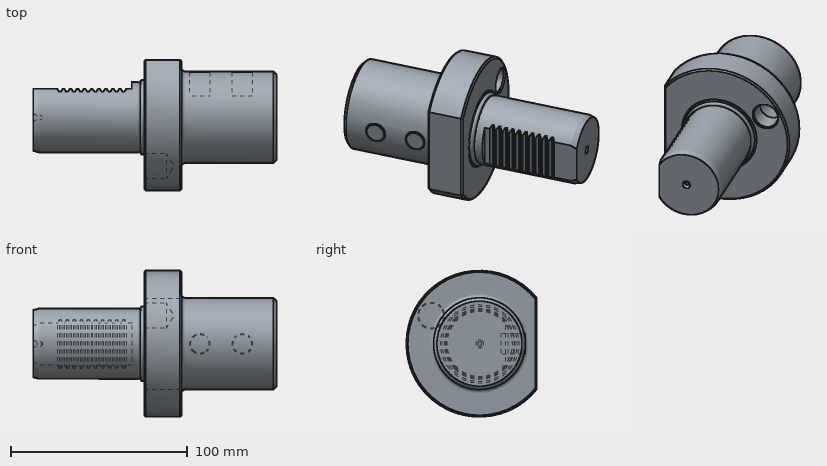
import cadquery as cq
import math

total_length = 138.0
step_x = 55.8
shank_taper_x = 59.3
flange_start_x = 62.9
flange_end_x = 84.0

shank_radius = 20.0
shank_lead_length = 3.5
shank_lead_angle = 15.0
shank_taper_drop = 0.4
shank_flat_y = 16.1

tooth_count = 10
tooth_pitch = 4.0
first_tooth_x = 15.2
tooth_depth = 1.7
tooth_root_width = 0.8
tooth_mouth_width = 3.2

flange_diameter = 83.0
flange_width = 74.0
flange_radius = flange_diameter / 2
flange_flat_y = flange_width - flange_radius
flange_chamfer = 1.0

nose_diameter = 52.0
nose_radius = nose_diameter / 2
nose_root_fillet = 2.1
nose_end_chamfer = 2.0

seal_section_radius = 1.4
seal_outer_radius = 21.3
seal_groove_outer_radius = 22.2
seal_ring_radius = seal_outer_radius - seal_section_radius
seal_x = 62.1
seal_groove_inner_radius = seal_ring_radius - seal_section_radius

coolant_y = -27.5
coolant_z = 16.0
coolant_radius = 7.0
coolant_mouth_radius = 7.6
coolant_mouth_depth = 1.0
coolant_depth = 12.4
drill_tip_angle = 118.0

center_mouth_radius = 2.2
center_pilot_radius = 1.1
center_pilot_depth = 2.8
center_countersink_angle = 60.0

screw_radius = 5.8
screw_chamfer = 0.5
screw_length = 13.8
first_screw_x = 94.3
screw_spacing = 24.0
screw_count = 2


def revolve_about_x(profile):
    """Turn a closed (x, radius) outline around the X axis."""
    return profile.close().revolve(360, (0, 0, 0), (1, 0, 0))


def cone_depth(radius_change, full_angle):
    """Axial length of a cone with the given full angle and change of radius."""
    return radius_change / math.tan(math.radians(full_angle / 2))


def make_shank():
    lead_drop = shank_lead_length * math.tan(math.radians(shank_lead_angle))
    seal_start_x = seal_x - seal_section_radius
    body = revolve_about_x(
        cq.Workplane("XY")
        .moveTo(0, 0)
        .lineTo(0, shank_radius - lead_drop)
        .lineTo(shank_lead_length, shank_radius)
        .lineTo(shank_taper_x, shank_radius)
        .lineTo(seal_start_x, shank_radius - shank_taper_drop)
        .lineTo(flange_start_x, shank_radius - shank_taper_drop)
        .lineTo(flange_start_x, 0)
    )
    return body.cut(shank_flat_cutter()).cut(serration_cutter())


def shank_flat_cutter():
    return cq.Workplane("XY").box(
        step_x, shank_radius, 2 * shank_radius, centered=(False, False, True)
    ).translate((0, shank_flat_y, 0))


def serration_cutter():
    """All the trapezoidal grooves across the flat."""
    grooves = cq.Workplane("XY").workplane(offset=-shank_radius)
    for index in range(tooth_count):
        x = first_tooth_x + index * tooth_pitch
        grooves = (
            grooves.moveTo(x - tooth_mouth_width / 2, shank_flat_y)
            .lineTo(x - tooth_root_width / 2, shank_flat_y - tooth_depth)
            .lineTo(x + tooth_root_width / 2, shank_flat_y - tooth_depth)
            .lineTo(x + tooth_mouth_width / 2, shank_flat_y)
            .close()
        )
    return grooves.extrude(2 * shank_radius)


def make_flange():
    """Round flange with a flat on the +Y side and chamfered rims."""
    flange = (
        cq.Workplane("YZ", origin=(flange_start_x, 0, 0))
        .circle(flange_radius)
        .extrude(flange_end_x - flange_start_x)
    )
    beyond_flat = cq.Workplane("XY").box(
        total_length, flange_radius, 2 * flange_radius, centered=(False, False, True)
    ).translate((0, flange_flat_y, 0))
    return flange.cut(beyond_flat).faces("<X or >X").chamfer(flange_chamfer)


def make_nose():
    """Cylinder in front of the flange with a rounded root and a chamfered end."""
    root_bend = nose_root_fillet * (1 - math.sqrt(0.5))
    return revolve_about_x(
        cq.Workplane("XY")
        .moveTo(flange_end_x, 0)
        .lineTo(flange_end_x, nose_radius + nose_root_fillet)
        .threePointArc(
            (flange_end_x + root_bend, nose_radius + root_bend),
            (flange_end_x + nose_root_fillet, nose_radius),
        )
        .lineTo(total_length - nose_end_chamfer, nose_radius)
        .lineTo(total_length, nose_radius - nose_end_chamfer)
        .lineTo(total_length, 0)
    )


def seal_groove_cutter():
    return (
        cq.Workplane("YZ", origin=(seal_x - seal_section_radius, 0, 0))
        .circle(seal_groove_outer_radius)
        .circle(seal_groove_inner_radius)
        .extrude(2 * seal_section_radius)
    )


def coolant_hole_cutter():
    """Blind drilled hole with a chamfered mouth and a conical bottom."""
    tip_depth = coolant_depth + cone_depth(coolant_radius, drill_tip_angle)
    hole = revolve_about_x(
        cq.Workplane("XY")
        .moveTo(0, 0)
        .lineTo(0, coolant_mouth_radius)
        .lineTo(coolant_mouth_depth, coolant_radius)
        .lineTo(coolant_depth, coolant_radius)
        .lineTo(tip_depth, 0)
    )
    return hole.translate((flange_start_x, coolant_y, coolant_z))


def center_hole_cutter():
    """Countersunk centre hole with a short drilled pilot."""
    pilot_start = cone_depth(center_mouth_radius - center_pilot_radius, center_countersink_angle)
    pilot_end = pilot_start + center_pilot_depth
    return revolve_about_x(
        cq.Workplane("XY")
        .moveTo(0, 0)
        .lineTo(0, center_mouth_radius)
        .lineTo(pilot_start, center_pilot_radius)
        .lineTo(pilot_end, center_pilot_radius)
        .lineTo(pilot_end + cone_depth(center_pilot_radius, drill_tip_angle), 0)
    )


def make_clamp_screw(x):
    """Plain screw pointing inward, with a chamfered outer end."""
    return (
        cq.Workplane("XZ", origin=(x, nose_radius, 0))
        .circle(screw_radius)
        .extrude(screw_length)
        .faces(">Y")
        .chamfer(screw_chamfer)
    )


def screw_hole_cutter(x):
    """Hole that closely fits the body of a clamping screw."""
    return (
        cq.Workplane("XZ", origin=(x, nose_radius, 0))
        .circle(screw_radius)
        .extrude(screw_length)
    )


def make_seal_ring():
    return (
        cq.Workplane("XY")
        .center(seal_x, seal_ring_radius)
        .circle(seal_section_radius)
        .revolve(360, (0, -seal_ring_radius, 0), (1, -seal_ring_radius, 0))
    )


def make_holder():
    holder = make_shank().union(make_flange()).union(make_nose())
    holder = holder.cut(seal_groove_cutter())
    holder = holder.cut(coolant_hole_cutter()).cut(center_hole_cutter())
    for x in screw_positions:
        holder = holder.cut(screw_hole_cutter(x))
    return holder


screw_positions = [first_screw_x + index * screw_spacing for index in range(screw_count)]
clamp_screws = [make_clamp_screw(x) for x in screw_positions]
seal_ring = make_seal_ring()
holder = make_holder()

result = cq.Compound.makeCompound(
    [holder.val(), seal_ring.val(), *[screw.val() for screw in clamp_screws]]
)